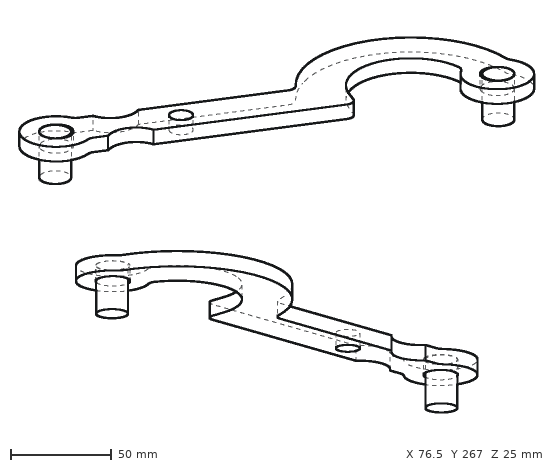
import cadquery as cq
import math

plate_thickness = 8.0
boss_radius = 18.5
boss_spacing = 230.0
band_width = 25.0
lean_angle = 0.6

hook_center_y = 185.0
hook_outer_radius = 57.5
hook_inner_radius = hook_outer_radius - band_width
shoulder_y = hook_center_y - hook_inner_radius
corner_radius = 5.0

neck_y = 35.0
neck_width = 13.3
notch_radius = 15.0

bar_hole_diameter = 12.0
bar_hole_y = 65.0
pin_diameter = 16.0
pin_hole_diameter = 17.0
pin_length = 25.0

pin_shift = (pin_hole_diameter - pin_diameter) / 2

boss_places = [0, boss_spacing]
pin_places = [-pin_shift, boss_spacing + pin_shift]


def disc(radius, y, x=0):
    return cq.Workplane("XY").center(x, y).circle(radius).extrude(plate_thickness)


def lean(body):
    return body.rotate((0, 0, 0), (0, 0, 1), -lean_angle)


def round_edge(body, x, y, radius):
    """Round the vertical edge nearest to the given place."""
    target = (x, y, plate_thickness / 2)
    return body.edges(cq.selectors.NearestToPointSelector(target)).fillet(radius)


def make_hook():
    """Left half of a ring, running from the upper boss to the bar."""
    ring = disc(hook_outer_radius, hook_center_y).cut(disc(hook_inner_radius, hook_center_y))
    left_half = (
        cq.Workplane("XY")
        .center(-hook_outer_radius / 2, hook_center_y)
        .rect(hook_outer_radius, 2 * hook_outer_radius)
        .extrude(plate_thickness)
    )
    return ring.intersect(left_half)


def make_bar():
    bar = (
        cq.Workplane("XY")
        .center(0, shoulder_y / 2)
        .rect(band_width, shoulder_y)
        .extrude(plate_thickness)
    )
    notch_x = neck_width / 2 + notch_radius
    for side in (-1, 1):
        bar = bar.cut(disc(notch_radius, neck_y, side * notch_x))
    return bar


def make_link():
    link = make_hook().union(make_bar())
    for y in boss_places:
        link = link.union(disc(boss_radius, y))

    half_width = band_width / 2
    outer_corner_y = hook_center_y - math.sqrt(hook_outer_radius**2 - half_width**2)
    link = round_edge(link, half_width, shoulder_y, corner_radius)
    link = round_edge(link, -half_width, outer_corner_y, corner_radius)

    center_gap = boss_spacing - hook_center_y
    for hook_radius in (hook_inner_radius, hook_outer_radius):
        rise = (center_gap**2 + hook_radius**2 - boss_radius**2) / (2 * center_gap)
        reach = math.sqrt(hook_radius**2 - rise**2)
        link = round_edge(link, -reach, hook_center_y + rise, corner_radius)

    bar_foot_y = math.sqrt(boss_radius**2 - half_width**2)
    for side in (-1, 1):
        link = round_edge(link, side * half_width, bar_foot_y, corner_radius)

    for y in boss_places:
        link = link.cut(disc(pin_hole_diameter / 2, y))
    link = link.cut(disc(bar_hole_diameter / 2, bar_hole_y))
    return lean(link)


def make_pin(y):
    """Plain pin, flush with the top of the plate and hanging below it."""
    pin = (
        cq.Workplane("XY")
        .workplane(offset=plate_thickness - pin_length)
        .center(0, y)
        .circle(pin_diameter / 2)
        .extrude(pin_length)
    )
    return lean(pin)


link = make_link()
pins = [make_pin(y) for y in pin_places]

result = cq.Compound.makeCompound([link.val(), *[pin.val() for pin in pins]])